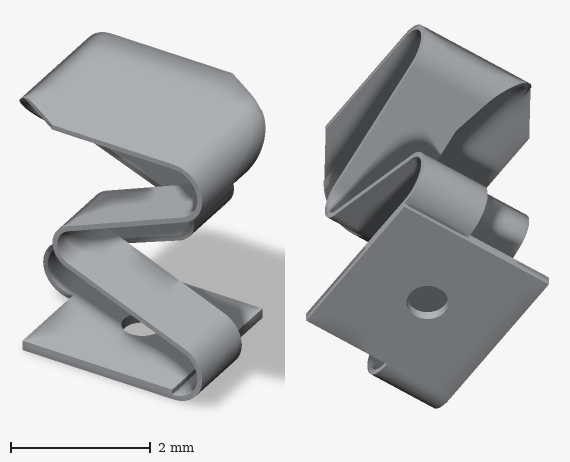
import cadquery as cq
import math

LENGTH = 3.5
WIDTH = 2.5
HEIGHT = 4.0
MIDDLE_X = LENGTH / 2
MIDDLE_Y = WIDTH / 2

SHEET = 0.08
BEND_RADIUS = 0.48
LOOP_RADIUS = 0.38
BACK_REACH = 2.525
FRONT_REACH = 2.5
STRIP_WIDTH = 1.1

PLATE_LENGTH = 2.5
PLATE_THICKNESS = 2 * SHEET
HOLE_DIAMETER = 0.6

NECK_Z = 2.88
NECK_Y = WIDTH - STRIP_WIDTH
SLOPE_TOP_Y = 0.5
CORNER_X = 1.0
CORNER_Y = 0.65


def strip_profile(foot_z, reach):
    """XZ face of a strip: half the top, left bend, right loop, left bend, half the base."""
    top_z = HEIGHT - BEND_RADIUS
    low_z = foot_z + BEND_RADIUS
    loop_x = reach - LOOP_RADIUS
    loop_z = (top_z + low_z) / 2
    run = loop_x - BEND_RADIUS
    drop = top_z - loop_z

    radii = BEND_RADIUS + LOOP_RADIUS - SHEET
    slope = math.atan2(drop, run) - math.asin(radii / math.hypot(run, drop))
    normal_x = math.sin(slope)
    normal_z = math.cos(slope)

    def edge_points(bend, loop):
        """Points from top end to foot end along one face of the sheet."""
        return [
            (MIDDLE_X, top_z + bend),
            (BEND_RADIUS, top_z + bend),
            (BEND_RADIUS - bend, top_z),
            (BEND_RADIUS - bend * normal_x, top_z - bend * normal_z),
            (loop_x + loop * normal_x, loop_z + loop * normal_z),
            (loop_x + loop, loop_z),
            (loop_x + loop * normal_x, loop_z - loop * normal_z),
            (BEND_RADIUS - bend * normal_x, low_z + bend * normal_z),
            (BEND_RADIUS - bend, low_z),
            (BEND_RADIUS, low_z - bend),
            (MIDDLE_X, low_z - bend),
        ]

    def trace(sketch, points):
        """Continue from the first point: line, then an arc and a line for each bend."""
        sketch = sketch.lineTo(*points[1])
        for i in (1, 4, 7):
            sketch = sketch.threePointArc(points[i + 1], points[i + 2]).lineTo(*points[i + 3])
        return sketch

    outside = edge_points(BEND_RADIUS, LOOP_RADIUS - SHEET)
    inside = edge_points(BEND_RADIUS - SHEET, LOOP_RADIUS)[::-1]
    sketch = trace(cq.Workplane("XZ").moveTo(*outside[0]), outside)
    return trace(sketch.lineTo(*inside[0]), inside).close()


def corner_cutter():
    """Removes the front left corner: a plan cut in the top, a side slope below it."""
    underside = HEIGHT - SHEET
    plan_cut = (
        cq.Workplane("XY", origin=(0, 0, underside))
        .polyline([(0, 0), (CORNER_X, 0), (0, CORNER_Y)])
        .close()
        .extrude(SHEET)
    )
    side_cut = (
        cq.Workplane("YZ")
        .polyline([(0, NECK_Z), (NECK_Y, NECK_Z), (SLOPE_TOP_Y, underside), (0, underside)])
        .close()
        .extrude(MIDDLE_X)
    )
    return plan_cut.union(side_cut)


def half_clip(foot_z, reach):
    """Left-bending strip along the back edge, with its half of the wide top."""
    profile = strip_profile(foot_z, reach)
    full_width = profile.extrude(-WIDTH)
    narrow = cq.Workplane("XY").box(LENGTH, NECK_Y, NECK_Z, centered=False)
    return full_width.cut(narrow).cut(corner_cutter())


def base_plate():
    return (
        cq.Workplane("XY", origin=(MIDDLE_X, MIDDLE_Y, 0))
        .rect(PLATE_LENGTH, WIDTH)
        .extrude(PLATE_THICKNESS)
    )


def plate_hole():
    return (
        cq.Workplane("XY", origin=(MIDDLE_X, MIDDLE_Y, 0))
        .circle(HOLE_DIAMETER / 2)
        .extrude(PLATE_THICKNESS)
    )


back_half = half_clip(SHEET, BACK_REACH)
front_half = half_clip(0, FRONT_REACH).rotate((MIDDLE_X, MIDDLE_Y, 0), (MIDDLE_X, MIDDLE_Y, 1), 180)

result = back_half.union(front_half).union(base_plate()).cut(plate_hole())